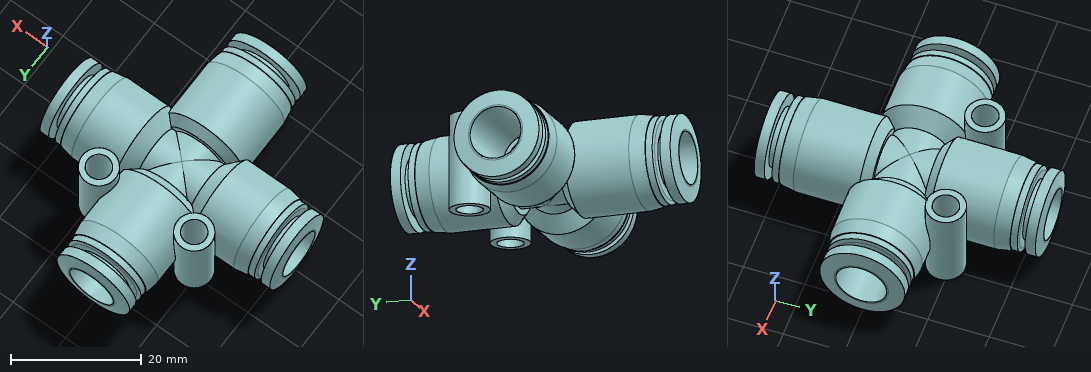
import cadquery as cq

x_length = 44.7
y_length = 46.6
x_reach = x_length / 2
y_reach = y_length / 2

body_radius = 7.5
taper_end_radius = 7.1
lip_radius = 6.95
lip_inset = 4.45
mouth_radius = 6.25
lip_crown = 0.15
x_taper_length = 2.4
y_taper_length = 2.5

core_radius = 5.0
x_shoulder = body_radius
x_root = core_radius
y_shoulder = 5.82
y_root = 4.3

collar_radius = 6.95
rim_radius = 4.43
collar_crown = 0.4
collar_inset = 2.1
neck_radius = 4.85
neck_inset = 3.2

bore_radius = 3.4
socket_radius = 4.15

ear_offset = 9.1
ear_radius = 3.15
ear_hole_radius = 2.1
ear_height = 2 * body_radius

x_arm_angles = (0, 180)
y_arm_angles = (90, 270)


def revolve_about_x(points):
    """Revolve an (axial position, radius) outline about the X axis."""
    return cq.Workplane("XY").polyline(points).close().revolve(360, (0, 0, 0), (1, 0, 0))


def arm_solid(reach, taper_length, shoulder, root):
    """One unbored arm, running from the centre along +X."""
    root_radius = body_radius - (shoulder - root)
    lip = reach - lip_inset
    body_mouth = reach - neck_inset
    collar_back = reach - collar_inset
    points = [(0, 0), (0, core_radius), (root, core_radius)]
    if root_radius > core_radius:
        points.append((root, root_radius))
    points += [
        (shoulder, body_radius),
        (lip - taper_length, body_radius),
        (lip, taper_end_radius),
        (lip, lip_radius),
        (body_mouth - lip_crown, lip_radius),
        (body_mouth, mouth_radius),
        (body_mouth, neck_radius),
        (collar_back, neck_radius),
        (collar_back, collar_radius),
        (reach - collar_crown, collar_radius),
        (reach, rim_radius),
        (reach, 0),
    ]
    return revolve_about_x(points)


def arm_bore(reach, shoulder):
    """Through bore with a tube socket that stops at the shoulder of the body."""
    return revolve_about_x([
        (0, 0),
        (0, bore_radius),
        (shoulder, bore_radius),
        (shoulder, socket_radius),
        (reach, socket_radius),
        (reach, 0),
    ])


def around_z(solid, angles):
    """Union of copies of a solid turned about the Z axis."""
    copies = cq.Workplane("XY")
    for angle in angles:
        copies = copies.union(solid.rotate((0, 0, 0), (0, 0, 1), angle))
    return copies


def ear_cylinders(radius):
    """Upright cylinders at both ear positions."""
    return (
        cq.Workplane("XY")
        .pushPoints([(-ear_offset, ear_offset), (ear_offset, ear_offset)])
        .circle(radius)
        .extrude(ear_height / 2, both=True)
    )


x_arms = around_z(arm_solid(x_reach, x_taper_length, x_shoulder, x_root), x_arm_angles)
y_arms = around_z(arm_solid(y_reach, y_taper_length, y_shoulder, y_root), y_arm_angles)
x_bores = around_z(arm_bore(x_reach, x_shoulder), x_arm_angles)
y_bores = around_z(arm_bore(y_reach, y_shoulder), y_arm_angles)

result = x_arms.union(y_arms).union(ear_cylinders(ear_radius))
result = result.cut(x_bores).cut(y_bores).cut(ear_cylinders(ear_hole_radius))